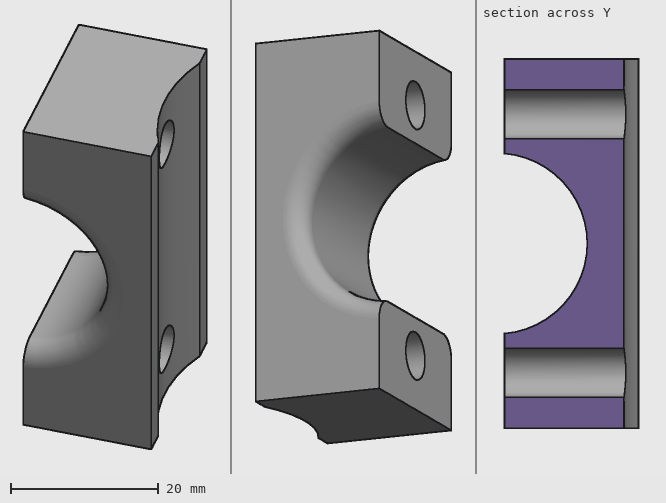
import cadquery as cq

height = 50.0
width = 25.0
depth = 18.2

bore_radius = 12.2
axis_setback = 1.0
bore_edge_radius = 3.0

saddle_depth = 2.0
saddle_chord = 18.5
saddle_radius = ((saddle_chord / 2) ** 2 + saddle_depth**2) / (2 * saddle_depth)

bolt_diameter = 6.6
bolt_spacing = 35.0


def make_block():
    """Block with its clamping face on X = 0, centred on Y and Z."""
    return cq.Workplane("XY").box(depth, width, height, centered=(False, True, True))


def make_bore():
    """Bore cutter whose ends flare out as quarter rounds, revolved about the bore axis."""
    half_width = width / 2
    straight_half = half_width - bore_edge_radius
    mouth_radius = bore_radius + bore_edge_radius
    round_offset = bore_edge_radius * (1 - 0.5**0.5)
    round_radius = bore_radius + round_offset
    round_y = half_width - round_offset
    profile = (
        cq.Workplane("XY")
        .moveTo(0, -half_width)
        .lineTo(mouth_radius, -half_width)
        .threePointArc((round_radius, -round_y), (bore_radius, -straight_half))
        .lineTo(bore_radius, straight_half)
        .threePointArc((round_radius, round_y), (mouth_radius, half_width))
        .lineTo(0, half_width)
        .close()
    )
    return profile.revolve(360, (0, 0, 0), (0, 1, 0)).translate((-axis_setback, 0, 0))


def make_saddle():
    """Cylinder that sinks into the +X face by the saddle depth."""
    axis_x = depth - saddle_depth + saddle_radius
    return cq.Workplane("XY").center(axis_x, 0).circle(saddle_radius).extrude(height / 2, both=True)


def make_bolt_holes():
    """Two through holes, above and below the bore."""
    centres = [(0, -bolt_spacing / 2), (0, bolt_spacing / 2)]
    return cq.Workplane("YZ").pushPoints(centres).circle(bolt_diameter / 2).extrude(depth)


result = make_block().cut(make_bore()).cut(make_saddle()).cut(make_bolt_holes())